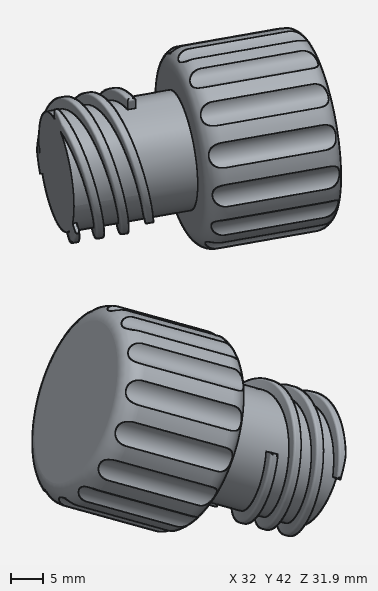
import cadquery as cq
import math

total_length = 42.0
head_length = 22.0
head_radius = 16.0
head_edge_radius = 3.0
shaft_radius = 9.5

flute_count = 15
first_flute_angle = -90.0
flute_floor_radius = 15.0
flute_width = 3.95

thread_starts = 3
ridge_spacing = 4.0
thread_lead = thread_starts * ridge_spacing
thread_length = 12.2
thread_outer_radius = 11.3
ridge_width = 1.35
ridge_edge_radius = 0.35
ridge_root_overlap = 0.25
first_start_angle = 90.0

head_start = -total_length
thread_start = -thread_length


def make_head():
    blank = (
        cq.Workplane("XY")
        .workplane(offset=head_start)
        .circle(head_radius)
        .extrude(head_length)
        .edges()
        .fillet(head_edge_radius)
    )
    half_width = flute_width / 2
    chord_distance = math.sqrt(head_radius**2 - half_width**2)
    depth = chord_distance - flute_floor_radius
    cutter_radius = (half_width**2 + depth**2) / (2 * depth)
    cutters = (
        cq.Workplane("XY")
        .workplane(offset=head_start)
        .polarArray(flute_floor_radius + cutter_radius, first_flute_angle, 360, flute_count)
        .circle(cutter_radius)
        .extrude(head_length)
    )
    return blank.cut(cutters)


def make_shaft():
    return (
        cq.Workplane("XY")
        .workplane(offset=head_start + head_length)
        .circle(shaft_radius)
        .extrude(total_length - head_length)
    )


def trim_beyond_tip(body):
    trim_block = cq.Workplane("XY").circle(2 * thread_outer_radius).extrude(2 * ridge_width)
    return body.cut(trim_block)


def innermost_corner_radius(face):
    return min(math.hypot(corner.X, corner.Y) for corner in face.Vertices())


def make_thread_ridge():
    """One helical ridge, cut flush with the tip, with every edge of its crest rounded."""
    root_radius = shaft_radius - ridge_root_overlap
    path = cq.Workplane(obj=cq.Wire.makeHelix(thread_lead, thread_length, shaft_radius))
    ridge = (
        cq.Workplane("XZ")
        .center((root_radius + thread_outer_radius) / 2, 0)
        .rect(thread_outer_radius - root_radius, ridge_width)
        .sweep(path, isFrenet=True)
        .translate((0, 0, thread_start))
    )
    trimmed = trim_beyond_tip(ridge)
    crest = max(trimmed.faces().vals(), key=innermost_corner_radius)
    return trimmed.newObject([crest]).edges().fillet(ridge_edge_radius)


screw = make_head().union(make_shaft())
ridge = make_thread_ridge()
for start in range(thread_starts):
    angle = first_start_angle + start * 360 / thread_starts
    screw = screw.union(ridge.rotate((0, 0, 0), (0, 0, 1), angle))

result = screw.rotate((0, 0, 0), (1, 0, 0), 90)